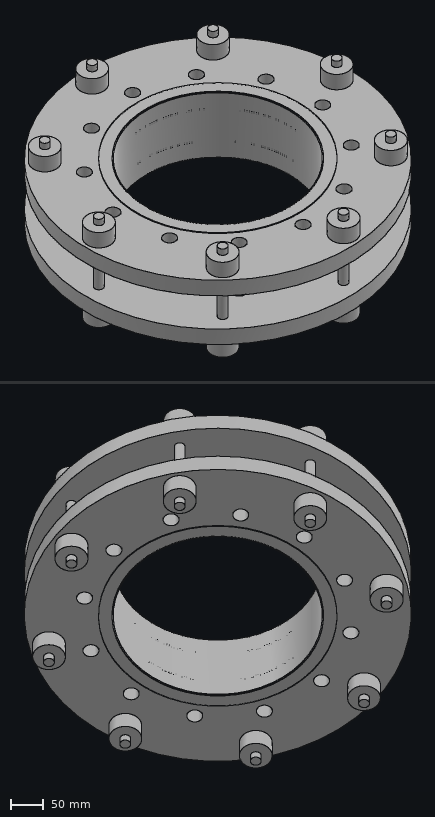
import cadquery as cq
import math

flange_diameter = 587.0
flange_inner_z = 32.0
flange_thickness = 30.5
flange_outer_z = flange_inner_z + flange_thickness

hole_count = 12
hole_diameter = 24.0
hole_circle_radius = 205.0

rod_count = 8
rod_diameter = 16.5
rod_length = 210.0
rod_end_z = rod_length / 2
rod_circle_radius = 262.5
nut_diameter = 50.0
nut_height = 30.0
nut_outer_z = flange_outer_z + nut_height

bore_radius = 158.5
bore_chamfer = 2.0
wall = 2.0
neck_radius = bore_radius + wall
lip_radius = 181.0
lip_thickness = 2.0
lip_z = flange_outer_z + lip_thickness
arch_radius = 183.0
arch_half_height = 26.0
arch_edge_round = 2.0
neck_round = 3.5


def polar_points(count, radius):
    """Evenly spaced points on a circle, placed half a step off the X axis."""
    step = 2 * math.pi / count
    angles = [(i + 0.5) * step for i in range(count)]
    return [(radius * math.cos(a), radius * math.sin(a)) for a in angles]


hole_points = polar_points(hole_count, hole_circle_radius)
rod_points = polar_points(rod_count, rod_circle_radius)


def cylinders(points, diameter, bottom_z, top_z):
    """Upright cylinders at the given points."""
    base = cq.Workplane("XY", origin=(0, 0, bottom_z)).pushPoints(points)
    return base.circle(diameter / 2).extrude(top_z - bottom_z)


def make_plate(bottom_z):
    """Flange ring with its through holes, fitting round the bellows neck."""
    base = cq.Workplane("XY", origin=(0, 0, bottom_z))
    ring = base.circle(flange_diameter / 2).circle(neck_radius).extrude(flange_thickness)
    return ring.cut(cylinders(hole_points, hole_diameter, bottom_z, bottom_z + flange_thickness))


def make_upper_flange():
    """Flange with its nuts and the rod ends that stand above them."""
    nuts = cylinders(rod_points, nut_diameter, flange_outer_z, nut_outer_z)
    rod_ends = cylinders(rod_points, rod_diameter, flange_outer_z, rod_end_z)
    return make_plate(flange_inner_z).union(nuts).union(rod_ends)


def make_lower_flange():
    """Flange with its nuts and the tie rods, which reach up to the underside of the upper flange."""
    nuts = cylinders(rod_points, nut_diameter, -nut_outer_z, -flange_outer_z)
    rods = cylinders(rod_points, rod_diameter, -rod_end_z, flange_inner_z)
    return make_plate(-flange_outer_z).union(nuts).union(rods)


def make_bellows():
    """Thin-walled tube with a lip over each flange and a solid arch between the flanges."""
    bend_z = arch_half_height + neck_round
    bend_radius = neck_radius + neck_round
    side_z = arch_half_height - arch_edge_round
    rim_radius = arch_radius - arch_edge_round
    mouth_radius = bore_radius + bore_chamfer
    profile = (
        cq.Workplane("XZ")
        .moveTo(mouth_radius, lip_z)
        .lineTo(lip_radius, lip_z)
        .lineTo(lip_radius, flange_outer_z)
        .lineTo(neck_radius, flange_outer_z)
        .lineTo(neck_radius, bend_z)
        .radiusArc((bend_radius, arch_half_height), -neck_round)
        .lineTo(rim_radius, arch_half_height)
        .radiusArc((arch_radius, side_z), arch_edge_round)
        .lineTo(arch_radius, -side_z)
        .radiusArc((rim_radius, -arch_half_height), arch_edge_round)
        .lineTo(bend_radius, -arch_half_height)
        .radiusArc((neck_radius, -bend_z), -neck_round)
        .lineTo(neck_radius, -flange_outer_z)
        .lineTo(lip_radius, -flange_outer_z)
        .lineTo(lip_radius, -lip_z)
        .lineTo(mouth_radius, -lip_z)
        .lineTo(bore_radius, -lip_z + bore_chamfer)
        .lineTo(bore_radius, lip_z - bore_chamfer)
        .close()
    )
    return profile.revolve(360, (0, 0, 0), (0, 1, 0))


lower_flange = make_lower_flange()
upper_flange = make_upper_flange()
bellows = make_bellows()

result = cq.Compound.makeCompound([lower_flange.val(), upper_flange.val(), bellows.val()])